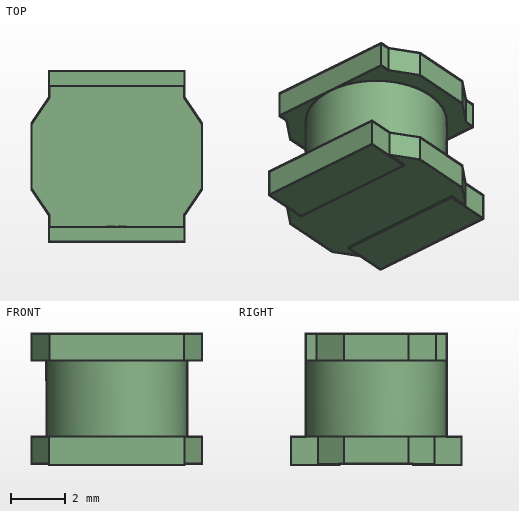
import cadquery as cq

length = 6.3
total_height = 4.85
flange_thickness = 1.0
pad_thickness = 0.05

barrel_diameter = 5.2

side_flat = 2.395
base_end_width = 4.995
base_shoulder = 4.295
top_end_width = 4.95
top_shoulder = 4.39

pad_depth = 1.8

barrel_bottom = pad_thickness + flange_thickness
top_flange_bottom = total_height - flange_thickness
barrel_height = top_flange_bottom - barrel_bottom


def flange(depth, end_width, shoulder, bottom):
    """Plate with straight Y ends and bevelled bulges on the X sides."""
    quarter = [
        (length / 2, side_flat / 2),
        (end_width / 2, shoulder / 2),
        (end_width / 2, depth / 2),
    ]
    right_half = [(x, -y) for x, y in reversed(quarter)] + quarter
    left_half = [(-x, -y) for x, y in right_half]
    outline = cq.Workplane("XY").workplane(offset=bottom).polyline(right_half + left_half)
    return outline.close().extrude(flange_thickness)


def pad(side):
    """Thin pad under the base, flush with the Y end on the given side."""
    center_y = side * (length - pad_depth) / 2
    return (
        cq.Workplane("XY")
        .center(0, center_y)
        .rect(base_end_width, pad_depth)
        .extrude(pad_thickness)
    )


base = flange(length, base_end_width, base_shoulder, pad_thickness)
top = flange(barrel_diameter, top_end_width, top_shoulder, top_flange_bottom)
barrel = (
    cq.Workplane("XY")
    .workplane(offset=barrel_bottom)
    .circle(barrel_diameter / 2)
    .extrude(barrel_height)
)

result = base.union(barrel).union(top)
for side in (-1, 1):
    result = result.union(pad(side))